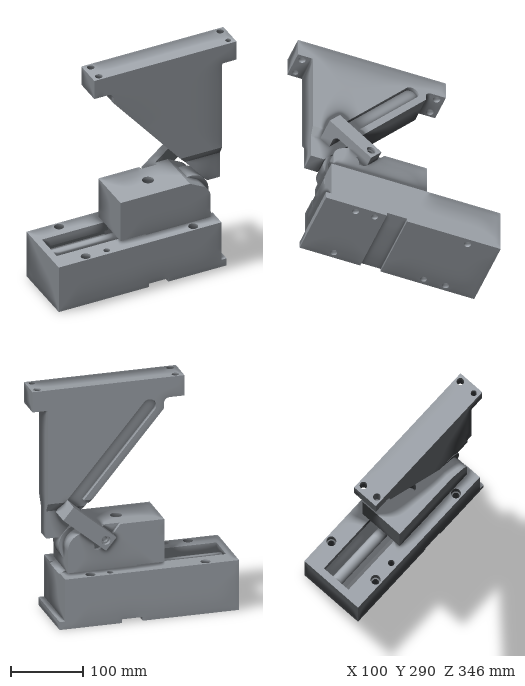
import cadquery as cq
import math


base_width = 100.0
base_length = 260.0
base_height = 74.0
foot_step = 8.0
foot_height = 11.8
key_notch_front = 139.5
key_notch_width = 30.0
key_notch_height = 5.5
base_back = base_length - foot_step

slot_front = 10.5
slot_half_width = 23.0
lip_thickness = 14.5
undercut_half_width = 33.2
undercut_depth = 27.0
slope_half_width = 31.0
floor_half_width = 11.0
floor_slope = math.radians(30)
floor_depth = undercut_depth + (slope_half_width - floor_half_width) * math.tan(floor_slope)

base_hole_x = 41.2
screw_hole_rows = (46.0, 212.5)
screw_hole_radius = 5.0
screw_head_radius = 7.0
screw_head_depth = 14.0
dowel_hole_radius = 4.5
dowel_holes = ((base_hole_x, 78.5), (-base_hole_x, 184.0))

rod_radius = 8.3
rod_axis_z = base_height - 14.2
collar_radius = 16.0
collar_length = 10.5

block_width = 69.0
block_front = 103.5
block_back = 243.0
block_top = 141.0
block_bottom = 76.5
front_relief_end = 143.0
front_relief_height = 1.5
bevel_length = 32.2
bevel_drop = 17.0
bevel_fillet = 23.5
carriage_front = 112.5
carriage_half_width = 21.8
nose_y = 221.5
nose_z = 110.0
nose_radius = 28.5
nose_width = 27.0
top_hole_x = 0
top_hole_y = 163.0
top_hole_radius = 8.3
top_hole_depth = 34.5
hub_radius = 17.0

arm_back = 290.0
arm_front = 70.0
arm_top = 346.0
arm_width = 40.5
flange_thickness = 30.0
web_back = 267.8
web_front_fillet = 8.3
web_back_fillet = 2.0
slant_top_y = 99.5
slant_top_z = 300.0
slant_bottom_y = 248.0
arm_bottom = 123.0
neck_inset = 7.5
neck_top = 163.3
neck_slope = math.radians(30)
shoulder_top = neck_top + neck_inset / math.tan(neck_slope)
arm_hole_x = 12.5
arm_hole_front_y = 80.5
arm_hole_back_y = 281.0
arm_hole_radius = 5.2
arm_small_hole_radius = 4.0

arm_slot_depth = 6.2
arm_slot_offset = 20.0
arm_slot_radius = 10.0
arm_slot_start = 9.0
relief_start = 169.0

link_start = 181.5
link_width = 23.5
link_length = 80.5
link_thickness = 14.2
link_fillet = 9.0
upper_foot_length = 17.5
lower_foot_length = 19.0
link_hole_from_end = 10.0
link_hole_radius = 4.0
link_head_radius = 6.5
link_head_depth = 5.2
link_outer_x = -base_width / 2
link_inner_x = link_outer_x + link_thickness
link_top = arm_slot_offset + arm_slot_radius
link_bottom = link_top - link_length
link_end = link_start + link_width

pocket_floor_x = -29.0
pocket_start = 138.5
pocket_end = 215.0
pocket_end_inward = -43.5
pocket_arc_along = 211.0
pocket_arc_inward = -48.0

slant_length = math.hypot(slant_bottom_y - slant_top_y, slant_top_z - arm_bottom)
slant_y = (slant_bottom_y - slant_top_y) / slant_length
slant_z = (arm_bottom - slant_top_z) / slant_length


def on_slant(along, inward):
    """(Y, Z) of a point: along the slanted edge from its top, then square to it into the arm."""
    y = slant_top_y + along * slant_y - inward * slant_z
    z = slant_top_z + along * slant_z + inward * slant_y
    return y, z


def side_plate(points, x_from, x_to):
    """Extrude a (Y, Z) outline between two X positions."""
    return cq.Workplane("YZ", origin=(x_from, 0, 0)).polyline(points).close().extrude(x_to - x_from)


def slant_plate(along_from, along_to, inward_from, inward_to, x_from, x_to):
    """A rectangular plate aligned with the slanted edge of the arm."""
    corners = (
        (along_from, inward_from),
        (along_to, inward_from),
        (along_to, inward_to),
        (along_from, inward_to),
    )
    return side_plate([on_slant(*corner) for corner in corners], x_from, x_to)


def disc(y, z, radius, x_from, x_to):
    """A cylinder along X."""
    return cq.Workplane("YZ", origin=(x_from, 0, 0)).center(y, z).circle(radius).extrude(x_to - x_from)


def drill(x, y, top, radius, depth):
    """A cylinder along Z reaching down from the given height."""
    return cq.Workplane("XY", origin=(x, y, top - depth)).circle(radius).extrude(depth)


def guide_section(neck_half_width, neck_top_z, y_from, y_to):
    """The T-shaped section of the guide, extruded along Y."""
    right_side = [
        (neck_half_width, neck_top_z),
        (neck_half_width, base_height - lip_thickness),
        (undercut_half_width, base_height - lip_thickness),
        (undercut_half_width, base_height - undercut_depth),
        (slope_half_width, base_height - undercut_depth),
        (floor_half_width, base_height - floor_depth),
    ]
    left_side = [(-x, z) for x, z in reversed(right_side)]
    section = cq.Workplane("XZ", origin=(0, y_from, 0)).polyline(right_side + left_side).close()
    return section.extrude(y_from - y_to)


def make_base():
    outline = [
        (0, 0),
        (key_notch_front, 0),
        (key_notch_front, key_notch_height),
        (key_notch_front + key_notch_width, key_notch_height),
        (key_notch_front + key_notch_width, 0),
        (base_length, 0),
        (base_length, foot_height),
        (base_back, foot_height),
        (base_back, base_height),
        (0, base_height),
    ]
    base = side_plate(outline, -base_width / 2, base_width / 2)
    base = base.cut(guide_section(slot_half_width, base_height, slot_front, base_back))
    for x in (-base_hole_x, base_hole_x):
        for y in screw_hole_rows:
            base = base.cut(drill(x, y, base_height, screw_hole_radius, base_height))
            base = base.cut(drill(x, y, base_height, screw_head_radius, screw_head_depth))
    for x, y in dowel_holes:
        base = base.cut(drill(x, y, base_height, dowel_hole_radius, base_height))
    return base


def make_rod():
    shaft_length = carriage_front + collar_length - slot_front
    shaft = cq.Workplane("XZ", origin=(0, slot_front, rod_axis_z)).circle(rod_radius).extrude(-shaft_length)
    collar = cq.Workplane("XZ", origin=(0, carriage_front, rod_axis_z)).circle(collar_radius)
    return shaft.union(collar.extrude(-collar_length))


def make_block():
    outline = [
        (block_front, block_bottom + front_relief_height),
        (front_relief_end, block_bottom + front_relief_height),
        (front_relief_end, block_bottom),
        (block_back, block_bottom),
        (block_back, block_top - bevel_drop),
        (block_back - bevel_length, block_top),
        (block_front, block_top),
    ]
    block = side_plate(outline, -block_width / 2, block_width / 2)
    bevel_corner = cq.selectors.NearestToPointSelector((0, block_back, block_top - bevel_drop))
    return block.edges(bevel_corner).fillet(bevel_fillet)


def make_link_pocket():
    """The recess for the lower foot of the link, with a round hub left standing in it."""
    x_from = -block_width / 2
    foot_inner = link_bottom + lower_foot_length
    arc_middle = on_slant(pocket_arc_along, pocket_arc_inward)
    arc_end = on_slant(pocket_end, pocket_end_inward)
    pocket = (
        cq.Workplane("YZ", origin=(x_from, 0, 0))
        .moveTo(*on_slant(pocket_start, link_bottom))
        .lineTo(*on_slant(link_end, link_bottom))
        .threePointArc(arc_middle, arc_end)
        .lineTo(*on_slant(pocket_end, foot_inner))
        .lineTo(*on_slant(pocket_start, foot_inner))
        .close()
        .extrude(pocket_floor_x - x_from)
    )
    return pocket.cut(disc(nose_y, nose_z, hub_radius, x_from, pocket_floor_x))


def make_carriage():
    carriage = guide_section(carriage_half_width, block_bottom, carriage_front, base_back)
    ramp_drop = (base_back - block_back) * bevel_drop / bevel_length
    ramp = [
        (block_back, block_bottom),
        (base_back, block_bottom),
        (base_back, block_bottom - ramp_drop),
    ]
    return carriage.cut(side_plate(ramp, -carriage_half_width, carriage_half_width))


def make_slide(rod):
    nose = disc(nose_y, nose_z, nose_radius, -nose_width / 2, nose_width / 2)
    slide = make_block().union(nose).union(make_carriage())
    slide = slide.cut(make_link_pocket()).cut(rod)
    return slide.cut(drill(top_hole_x, top_hole_y, block_top, top_hole_radius, top_hole_depth))


def make_arm_slot():
    x_from = -arm_width / 2
    x_to = x_from + arm_slot_depth
    low = arm_slot_offset - arm_slot_radius
    slot = slant_plate(arm_slot_start, link_end, low, link_top, x_from, x_to)
    slot = slot.union(disc(*on_slant(arm_slot_start, arm_slot_offset), arm_slot_radius, x_from, x_to))
    return slot.union(slant_plate(relief_start, link_end, 0, low, x_from, x_to))


def make_arm():
    flange_bottom = arm_top - flange_thickness
    outline = [
        (arm_front, arm_top),
        (arm_front, flange_bottom),
        (slant_top_y, flange_bottom),
        (slant_top_y, slant_top_z),
        (slant_bottom_y, arm_bottom),
        (web_back, arm_bottom),
        (web_back, flange_bottom),
        (arm_back, flange_bottom),
        (arm_back, arm_top),
    ]
    half = arm_width / 2
    arm = side_plate(outline, -half, half)
    for y, radius in ((slant_top_y, web_front_fillet), (web_back, web_back_fillet)):
        arm = arm.edges(cq.selectors.NearestToPointSelector((0, y, flange_bottom))).fillet(radius)
    for side in (-1, 1):
        shoulder = [
            (side * half, shoulder_top),
            (side * (half - neck_inset), neck_top),
            (side * (half - neck_inset), arm_bottom),
            (side * half, arm_bottom),
        ]
        arm = arm.cut(cq.Workplane("XZ").polyline(shoulder).close().extrude(-arm_back))
    arm = arm.cut(make_arm_slot())
    for x in (-arm_hole_x, arm_hole_x):
        for y in (arm_hole_front_y, arm_hole_back_y):
            small = x > 0 and y == arm_hole_back_y
            radius = arm_small_hole_radius if small else arm_hole_radius
            arm = arm.cut(drill(x, y, arm_top, radius, flange_thickness))
    return arm


def make_link():
    slot_floor_x = -arm_width / 2 + arm_slot_depth
    section = (link_start, link_end)
    link = slant_plate(*section, link_bottom, link_top, link_outer_x, link_inner_x)
    foot_inner = link_top - upper_foot_length
    link = link.union(slant_plate(*section, foot_inner, link_top, link_inner_x, slot_floor_x))
    y, z = on_slant((link_start + link_end) / 2, foot_inner)
    link = link.edges(cq.selectors.NearestToPointSelector((link_inner_x, y, z))).fillet(link_fillet)
    lower_end = link_bottom + lower_foot_length
    link = link.union(slant_plate(*section, link_bottom, lower_end, link_inner_x, pocket_floor_x))
    y, z = on_slant((link_start + link_end) / 2, link_bottom + link_hole_from_end)
    link = link.cut(disc(y, z, link_hole_radius, link_outer_x, pocket_floor_x))
    return link.cut(disc(y, z, link_head_radius, link_outer_x, link_outer_x + link_head_depth))


base = make_base()
rod = make_rod()
slide = make_slide(rod)
arm = make_arm()
link = make_link()

result = cq.Compound.makeCompound([base.val(), rod.val(), slide.val(), arm.val(), link.val()])